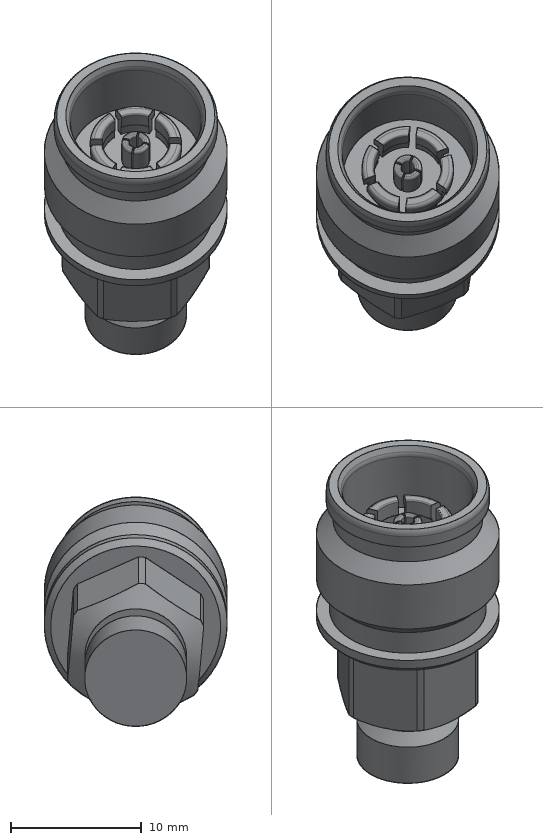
import cadquery as cq
import math

total_height = 25.0
stub_top = 3.35
neck_start = 4.22
hex_bottom = 5.0
flange_bottom = 12.25
flange_top = 13.5
collar_bottom = 15.4
collar_cone_end = 16.42
collar_top = 20.5
rim_bottom = 23.5
floor_z = 19.5
contact_top = 21.8

stub_radius = 3.9
neck_radius = 3.05
flange_radius = 7.0
flange_chamfer = 0.5
groove_radius = 6.0
collar_radius = 7.0
throat_radius = 5.72
rim_radius = 6.25
rim_round_width = 0.2
rim_round_height = 0.55

hex_sides = 6
hex_across_flats = 10.0
hex_corner_radius = 5.62
hex_end_radius = 3.9
hex_chamfer_angle = 30.0

mouth_radius = 5.35
mouth_cone_width = 0.25
mouth_half_angle = 30.0
socket_radius = 5.0

finger_count = 6
finger_outer_radius = 3.5
finger_inner_radius = 2.58
finger_outer_round = 0.32
finger_inner_round = 0.1
finger_slot_width = 0.58
finger_slot_angle = 0
finger_stem_outer_radius = 3.1
finger_stem_inner_radius = 2.68
finger_outer_lip_z = 20.88
finger_inner_lip_z = 20.5

contact_radius = 1.08
contact_round = 0.25
contact_bore_radius = 0.5
contact_bore_round = 0.18
contact_slot_count = 4
contact_slot_width = 0.12
contact_slot_angle = 45


def rim_round_midpoint():
    """Middle of the rim's rounded edge: an arc tangent to the rim's side wall."""
    sweep = 2 * math.atan(rim_round_width / rim_round_height)
    arc_radius = rim_round_height / math.sin(sweep)
    radius = rim_radius - arc_radius * (1 - math.cos(sweep / 2))
    height = total_height - rim_round_height + arc_radius * math.sin(sweep / 2)
    return radius, height


def make_body():
    """Turned outside of the connector, solid, without the hexagon."""
    throat_bottom = collar_top + collar_radius - throat_radius
    return (
        cq.Workplane("XZ")
        .lineTo(stub_radius, 0)
        .lineTo(stub_radius, stub_top)
        .lineTo(neck_radius, neck_start)
        .lineTo(neck_radius, flange_bottom)
        .lineTo(flange_radius - flange_chamfer, flange_bottom)
        .lineTo(flange_radius, flange_bottom + flange_chamfer)
        .lineTo(flange_radius, flange_top)
        .lineTo(groove_radius, flange_top)
        .lineTo(groove_radius, collar_bottom)
        .lineTo(collar_radius, collar_cone_end)
        .lineTo(collar_radius, collar_top)
        .lineTo(throat_radius, throat_bottom)
        .lineTo(throat_radius, rim_bottom)
        .lineTo(rim_radius, rim_bottom)
        .lineTo(rim_radius, total_height - rim_round_height)
        .threePointArc(rim_round_midpoint(), (rim_radius - rim_round_width, total_height))
        .lineTo(0, total_height)
        .close()
        .revolve(360, (0, 0, 0), (0, 1, 0))
    )


def make_hexagon():
    """Hexagon with corners on the X axis, trimmed by a cylinder and an end cone."""
    height = flange_bottom - hex_bottom
    corner_diameter = hex_across_flats / math.cos(math.pi / hex_sides)
    prism = (
        cq.Workplane("XY", origin=(0, 0, hex_bottom))
        .polygon(hex_sides, corner_diameter)
        .extrude(height)
    )
    cone_rise = (hex_corner_radius - hex_end_radius) * math.tan(math.radians(hex_chamfer_angle))
    envelope = (
        cq.Workplane("XZ")
        .moveTo(0, hex_bottom)
        .lineTo(hex_end_radius, hex_bottom)
        .lineTo(hex_corner_radius, hex_bottom + cone_rise)
        .lineTo(hex_corner_radius, flange_bottom)
        .lineTo(0, flange_bottom)
        .close()
        .revolve(360, (0, 0, 0), (0, 1, 0))
    )
    return prism.intersect(envelope)


def make_socket():
    """Cavity of the open end: a conical mouth blended by a tangent arc into a straight bore."""
    angle = math.radians(mouth_half_angle)
    cone_end_radius = mouth_radius - mouth_cone_width
    cone_end_z = total_height - mouth_cone_width / math.tan(angle)
    blend_radius = (cone_end_radius - socket_radius) / (1 - math.cos(angle))
    blend_start_z = cone_end_z - blend_radius * math.sin(angle)
    blend_midpoint = (
        socket_radius + blend_radius * (1 - math.cos(angle / 2)),
        blend_start_z + blend_radius * math.sin(angle / 2),
    )
    return (
        cq.Workplane("XZ")
        .moveTo(0, floor_z)
        .lineTo(socket_radius, floor_z)
        .lineTo(socket_radius, blend_start_z)
        .threePointArc(blend_midpoint, (cone_end_radius, cone_end_z))
        .lineTo(mouth_radius, total_height)
        .lineTo(0, total_height)
        .close()
        .revolve(360, (0, 0, 0), (0, 1, 0))
    )


def make_ring(outer_radius, inner_radius, top_z):
    """Plain ring from the socket floor up to the given height."""
    return (
        cq.Workplane("XY", origin=(0, 0, floor_z))
        .circle(outer_radius)
        .circle(inner_radius)
        .extrude(top_z - floor_z)
    )


def make_tube(outer_radius, inner_radius, outer_round, inner_round):
    """Tube standing on the socket floor with its top rounded outside and inside."""
    tube = make_ring(outer_radius, inner_radius, contact_top)
    tube = tube.faces(">Z").edges(cq.selectors.RadiusNthSelector(-1)).fillet(outer_round)
    return tube.faces(">Z").edges(cq.selectors.RadiusNthSelector(0)).fillet(inner_round)


def cut_slots(tube, outer_radius, count, width, start_angle):
    """Split a tube into equal segments; each slot spans the full diameter down to the floor."""
    slot_length = 3 * outer_radius
    for index in range(count // 2):
        slot = (
            cq.Workplane("XY", origin=(0, 0, floor_z))
            .rect(slot_length, width)
            .extrude(contact_top - floor_z)
            .rotate((0, 0, 0), (0, 0, 1), start_angle + index * 360 / count)
        )
        tube = tube.cut(slot)
    return tube


fingers = make_tube(finger_outer_radius, finger_inner_radius, finger_outer_round, finger_inner_round)
fingers = fingers.cut(make_ring(finger_outer_radius, finger_stem_outer_radius, finger_outer_lip_z))
fingers = fingers.cut(make_ring(finger_stem_inner_radius, finger_inner_radius, finger_inner_lip_z))
fingers = cut_slots(fingers, finger_outer_radius, finger_count, finger_slot_width, finger_slot_angle)

contact = make_tube(contact_radius, contact_bore_radius, contact_round, contact_bore_round)
contact = cut_slots(contact, contact_radius, contact_slot_count, contact_slot_width, contact_slot_angle)

result = make_body().union(make_hexagon()).cut(make_socket()).union(fingers).union(contact)